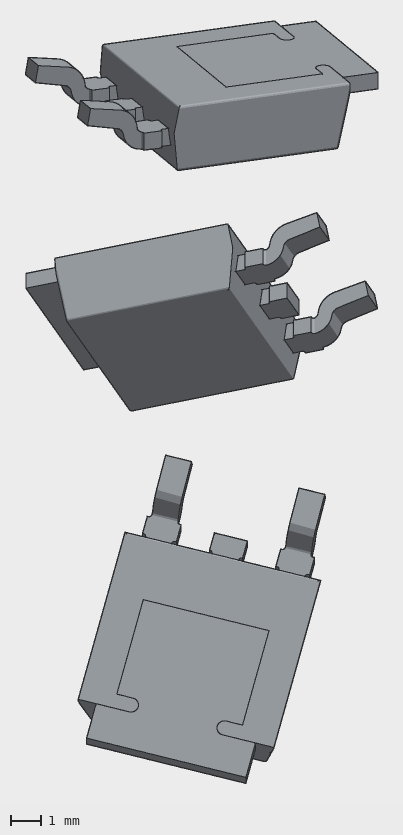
import cadquery as cq
import math


HOUSING_WIDTH = 6.70
HOUSING_HEIGHT = 2.39
HOUSING_REAR_Y = 6.245
WALL_DRAFT = 8.0
REAR_DRAFT = 9.0
EDGE_RADIUS = 0.10
PARTING_DEPTH = 0.95
REAR_TRIM = 0.10

TAB_REAR_Y = 7.50
TAB_THICKNESS = 0.58
TAB_WIDTH = 5.45
TAB_NECK_WIDTH = 2.70
TAB_PAD_WIDTH = 4.30
TAB_PAD_FRONT_Y = 2.30
FINGER_WIDTH = 0.50

LEAD_PITCH = 2.28
LEAD_THICKNESS = 0.60
LEAD_WIDTH = 0.885
LEAD_SHOULDER_WIDTH = 1.16
STUB_WIDTH = 0.91
STUB_SHOULDER_WIDTH = 1.13
SHOULDER_START = 0.29
SHOULDER_END = 0.92
SHOULDER_FILLET = 0.10
LEAD_EMBED = 1.00

TIP_REACH = 2.886
TIP_RISE = 0.12
FOOT_TOP_TILT = 10.5
FOOT_BOTTOM_TILT = 13.0
WEB_TILT = 80.0
WEB_REAR_START = 1.077
WEB_FRONT_START = 1.497
LOWER_INNER_RADIUS = 0.19
LOWER_OUTER_RADIUS = 0.67
UPPER_INNER_RADIUS = 0.30
UPPER_OUTER_RADIUS = 0.74

draft = math.radians(WALL_DRAFT)
lead_top = HOUSING_HEIGHT - PARTING_DEPTH
lead_bottom = lead_top - LEAD_THICKNESS


def make_housing_blank():
    """Drafted block with rounded top, bottom and rear edges, before its pockets are cut."""
    rounding_loss = EDGE_RADIUS * ((1 + math.sin(draft)) / math.cos(draft) - 1)
    top_half = HOUSING_WIDTH / 2 + rounding_loss
    bottom_half = top_half - HOUSING_HEIGHT * math.tan(draft)

    top_front_y = PARTING_DEPTH * math.tan(draft)
    bottom_front_y = lead_top * math.tan(draft)
    top_rear_y = HOUSING_REAR_Y + REAR_TRIM
    bottom_rear_y = top_rear_y - HOUSING_HEIGHT * math.tan(math.radians(REAR_DRAFT))

    side_profile = (
        cq.Workplane("YZ")
        .polyline([
            (bottom_front_y, 0),
            (0, lead_top),
            (top_front_y, HOUSING_HEIGHT),
            (top_rear_y, HOUSING_HEIGHT),
            (bottom_rear_y, 0),
        ])
        .close()
        .extrude(top_half, both=True)
    )
    front_profile = (
        cq.Workplane("XZ", origin=(0, TAB_REAR_Y, 0))
        .polyline([
            (-bottom_half, 0),
            (bottom_half, 0),
            (top_half, HOUSING_HEIGHT),
            (-top_half, HOUSING_HEIGHT),
        ])
        .close()
        .extrude(2 * TAB_REAR_Y)
    )
    block = side_profile.intersect(front_profile)
    block = block.faces(">Z or <Z or >Y").edges().fillet(EDGE_RADIUS)

    rear_trim = (
        cq.Workplane("XY")
        .box(2 * HOUSING_WIDTH, REAR_TRIM * 2, 2 * HOUSING_HEIGHT, centered=(True, False, False))
        .translate((0, HOUSING_REAR_Y, 0))
    )
    return block.cut(rear_trim)


def make_tab():
    """Flat tab: wide plate behind the housing, neck between round-ended fingers, square pad."""
    plate_half = TAB_WIDTH / 2
    neck_half = TAB_NECK_WIDTH / 2
    pad_half = TAB_PAD_WIDTH / 2
    finger_radius = FINGER_WIDTH / 2
    finger_center_y = HOUSING_REAR_Y - finger_radius
    pad_rear_y = HOUSING_REAR_Y - FINGER_WIDTH
    arc_end = neck_half + finger_radius
    return (
        cq.Workplane("XY", origin=(0, 0, HOUSING_HEIGHT - TAB_THICKNESS))
        .moveTo(plate_half, TAB_REAR_Y)
        .lineTo(plate_half, HOUSING_REAR_Y)
        .lineTo(arc_end, HOUSING_REAR_Y)
        .threePointArc((neck_half, finger_center_y), (arc_end, pad_rear_y))
        .lineTo(pad_half, pad_rear_y)
        .lineTo(pad_half, TAB_PAD_FRONT_Y)
        .lineTo(-pad_half, TAB_PAD_FRONT_Y)
        .lineTo(-pad_half, pad_rear_y)
        .lineTo(-arc_end, pad_rear_y)
        .threePointArc((-neck_half, finger_center_y), (-arc_end, HOUSING_REAR_Y))
        .lineTo(-plate_half, HOUSING_REAR_Y)
        .lineTo(-plate_half, TAB_REAR_Y)
        .close()
        .extrude(TAB_THICKNESS)
    )


def make_shouldered_strip(neck_width, shoulder_width, front_reach, bottom_z, height):
    """Upright prism with a lead's plan outline: a strip with a wider, filleted shoulder."""
    strip = (
        cq.Workplane("XY")
        .box(neck_width, front_reach + LEAD_EMBED, height, centered=(True, False, False))
        .translate((0, -front_reach, bottom_z))
    )
    shoulder = (
        cq.Workplane("XY")
        .box(shoulder_width, SHOULDER_END - SHOULDER_START, height, centered=(True, False, False))
        .translate((0, -SHOULDER_END, bottom_z))
    )
    inner_corners = [-SHOULDER_START]
    if front_reach > SHOULDER_END:
        inner_corners.append(-SHOULDER_END)
    outline = strip.union(shoulder)
    for y in inner_corners:
        for x in (-neck_width / 2, neck_width / 2):
            corner = cq.selectors.NearestToPointSelector((x, y, bottom_z + height / 2))
            outline = outline.edges("|Z").edges(corner).fillet(SHOULDER_FILLET)
    return outline


def web_foot_corner(web_start, foot_tip, foot_tilt):
    """Sharp (y, z) corner where a face of the web meets a face of the foot."""
    web_slope = math.tan(math.radians(WEB_TILT))
    foot_slope = math.tan(math.radians(foot_tilt))
    start_y, start_z = web_start
    tip_y, tip_z = foot_tip
    reach = start_y - tip_y
    foot_z_above_start = tip_z - foot_slope * reach - start_z
    forward = foot_z_above_start / (web_slope - foot_slope)
    return (start_y - forward, start_z + web_slope * forward)


def make_lead():
    """Outer lead: flat shoulder, S-bend upward and a tilted foot."""
    top_tilt = math.radians(FOOT_TOP_TILT)
    tip_bottom_y = -TIP_REACH
    tip_top_y = tip_bottom_y + LEAD_THICKNESS * math.sin(top_tilt)
    tip_top_z = HOUSING_HEIGHT + TIP_RISE
    tip_bottom_z = tip_top_z - LEAD_THICKNESS * math.cos(top_tilt)

    lower_inner = (-WEB_REAR_START, lead_top)
    lower_outer = (-WEB_FRONT_START, lead_bottom)
    upper_outer = web_foot_corner(lower_inner, (tip_top_y, tip_top_z), FOOT_TOP_TILT)
    upper_inner = web_foot_corner(lower_outer, (tip_bottom_y, tip_bottom_z), FOOT_BOTTOM_TILT)

    profile = (
        cq.Workplane("YZ")
        .polyline([
            (LEAD_EMBED, lead_bottom),
            lower_outer,
            upper_inner,
            (tip_bottom_y, tip_bottom_z),
            (tip_top_y, tip_top_z),
            upper_outer,
            lower_inner,
            (LEAD_EMBED, lead_top),
        ])
        .close()
        .extrude(LEAD_SHOULDER_WIDTH, both=True)
    )
    bends = [
        (lower_inner, LOWER_INNER_RADIUS),
        (lower_outer, LOWER_OUTER_RADIUS),
        (upper_inner, UPPER_INNER_RADIUS),
        (upper_outer, UPPER_OUTER_RADIUS),
    ]
    for (y, z), radius in bends:
        corner = cq.selectors.NearestToPointSelector((0, y, z))
        profile = profile.edges("|X").edges(corner).fillet(radius)

    outline = make_shouldered_strip(
        LEAD_WIDTH, LEAD_SHOULDER_WIDTH, 2 * TIP_REACH, 0, 2 * HOUSING_HEIGHT
    )
    return profile.intersect(outline)


def make_stub():
    """Centre lead, cut off at the front of its shoulder."""
    return make_shouldered_strip(
        STUB_WIDTH, STUB_SHOULDER_WIDTH, SHOULDER_END, lead_bottom, LEAD_THICKNESS
    )


tab = make_tab()
stub = make_stub()
leads = [make_lead().translate((x, 0, 0)) for x in (-LEAD_PITCH, LEAD_PITCH)]

housing = make_housing_blank()
for insert in [tab, stub, *leads]:
    housing = housing.cut(insert)

result = cq.Compound.makeCompound([
    housing.val(),
    tab.val(),
    stub.val(),
    *[lead.val() for lead in leads],
])